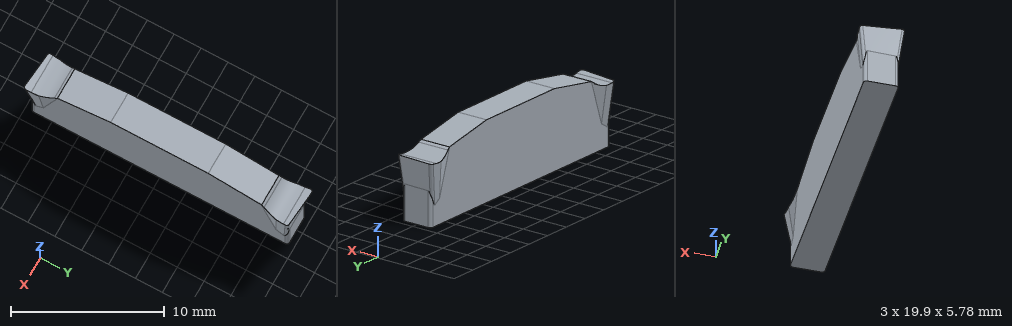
import cadquery as cq
import math


BODY_WIDTH = 2.34
BODY_LENGTH = 19.15
BODY_HEIGHT = 5.78
BODY_CORNER_RADIUS = 0.22

CREST_HALF_LENGTH = 3.63
CREST_SLOPE = math.radians(10)
SLOPE_END = 7.6
GULLET_START = 7.8
GULLET_RADIUS = 2.0
GULLET_FLOOR = 4.5
LAND_START = 9.39
LAND_RISE = math.radians(10)

EDGE_HEIGHT = 4.63
FLANK_FOOT_HEIGHT = 1.83
FLANK_DRAFT = 0.1
FLANK_BACK_TAPER = 0.061
KNEE_FOOT = 8.65
KNEE_LEAN = 0.071
SHOULDER_TAPER = math.tan(math.radians(14))
SHOULDER_RUN = 1.5

FACE_FOOT_HEIGHT = 2.57
EDGE_REACH = 9.855
EDGE_SKEW = 0.13
NOSE_RADIUS = 0.2

HEAD_BOTTOM = 1.2
HEAD_TOP = 5.2
TRIM_MARGIN = 1.0


def make_body():
    body = cq.Workplane("XY").box(BODY_WIDTH, BODY_LENGTH, BODY_HEIGHT, centered=(True, True, False))
    return body.edges("|Z").fillet(BODY_CORNER_RADIUS)


def head_section(height):
    """Horizontal outline of the +Y head at a height, with rounded nose corners."""
    knee_rise = height - FLANK_FOOT_HEIGHT
    knee_x = BODY_WIDTH / 2 + FLANK_DRAFT * knee_rise
    knee_y = KNEE_FOOT + KNEE_LEAN * knee_rise
    root_x = knee_x - SHOULDER_RUN * SHOULDER_TAPER
    root_y = knee_y - SHOULDER_RUN

    face_fraction = (height - FACE_FOOT_HEIGHT) / (EDGE_HEIGHT - FACE_FOOT_HEIGHT)
    face_y = BODY_LENGTH / 2 + (EDGE_REACH - BODY_LENGTH / 2) * face_fraction
    skew = EDGE_SKEW * face_fraction

    def nose(side):
        """Sharp corner where the flank on one side (-1 or +1) meets the end face."""
        nose_y = face_y - side * skew
        half_width = knee_x + FLANK_BACK_TAPER * (nose_y - knee_y)
        return (side * half_width, nose_y)

    points = [(-root_x, root_y), (-knee_x, knee_y), nose(-1), nose(1), (knee_x, knee_y), (root_x, root_y)]
    outline = cq.Wire.makePolygon([cq.Vector(x, y, height) for x, y in points], close=True)
    noses = [v for v in outline.Vertices() if v.Y > knee_y + NOSE_RADIUS]
    return outline.fillet2D(NOSE_RADIUS, noses)


def make_head():
    sections = [head_section(HEAD_BOTTOM), head_section(HEAD_TOP)]
    return cq.Workplane(obj=cq.Solid.makeLoft(sections, True))


def make_top_prism():
    """Prism under the top outline: crest, slopes, gullets and rising lands."""
    slope_end_z = BODY_HEIGHT - (SLOPE_END - CREST_HALF_LENGTH) * math.tan(CREST_SLOPE)

    center_y = LAND_START - GULLET_RADIUS * math.sin(LAND_RISE)

    def gullet_z(y):
        return GULLET_FLOOR + GULLET_RADIUS - math.sqrt(GULLET_RADIUS**2 - (y - center_y) ** 2)

    reach = BODY_LENGTH / 2 + TRIM_MARGIN
    land_end_z = gullet_z(LAND_START) + (reach - LAND_START) * math.tan(LAND_RISE)
    half_width = BODY_WIDTH / 2 + TRIM_MARGIN

    return (
        cq.Workplane("YZ", origin=(-half_width, 0, 0))
        .moveTo(-reach, 0)
        .lineTo(reach, 0)
        .lineTo(reach, land_end_z)
        .lineTo(LAND_START, gullet_z(LAND_START))
        .threePointArc((center_y, GULLET_FLOOR), (GULLET_START, gullet_z(GULLET_START)))
        .lineTo(SLOPE_END, slope_end_z)
        .lineTo(CREST_HALF_LENGTH, BODY_HEIGHT)
        .lineTo(-CREST_HALF_LENGTH, BODY_HEIGHT)
        .lineTo(-SLOPE_END, slope_end_z)
        .lineTo(-GULLET_START, gullet_z(GULLET_START))
        .threePointArc((-center_y, GULLET_FLOOR), (-LAND_START, gullet_z(LAND_START)))
        .lineTo(-reach, land_end_z)
        .close()
        .extrude(2 * half_width)
    )


head = make_head()
opposite_head = head.rotate((0, 0, 0), (0, 0, 1), 180)
result = make_body().union(head).union(opposite_head).intersect(make_top_prism())